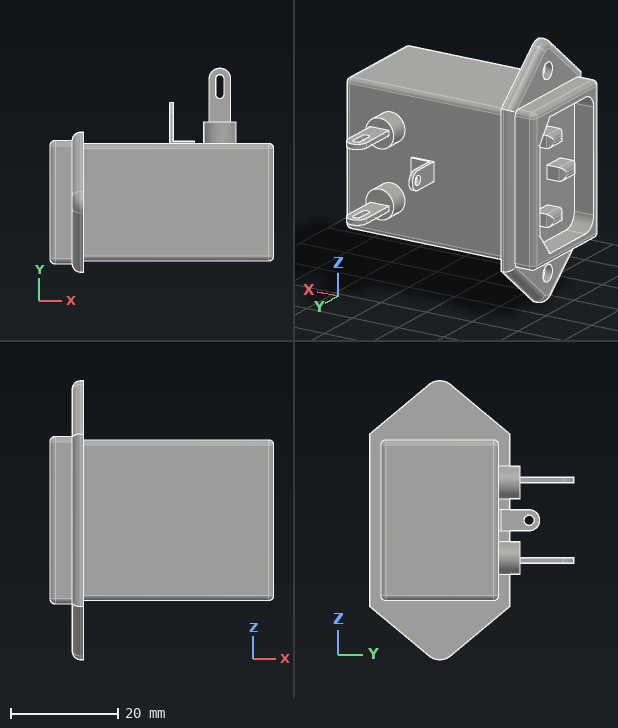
import cadquery as cq
import math

TOTAL_LENGTH = 41.7

BEZEL_WIDTH = 23.05
BEZEL_HEIGHT = 31.2
BEZEL_EDGE_RADIUS = 1.05

FLANGE_FRONT = 4.15
FLANGE_THICKNESS = 2.15
FLANGE_BACK = FLANGE_FRONT + FLANGE_THICKNESS
FLANGE_WIDTH = 26.1
FLANGE_HEIGHT = 52.0
FLANGE_SHOULDER_HEIGHT = 32.15
FLANGE_SLOPE = math.radians(39.8)
FLANGE_EDGE_RADIUS = 1.6
MOUNT_HOLE_DIAMETER = 3.4
MOUNT_HOLE_DEPTH = 1.6
MOUNT_HOLE_SPACING = 40.05

CAN_WIDTH = 21.95
CAN_HEIGHT = 29.95
CAN_EDGE_RADIUS = 1.0
CAN_SIDE = CAN_WIDTH / 2

SOCKET_DEPTH = 4.2
SOCKET_WIDTH = 19.15
SOCKET_HEIGHT = 27.05
SOCKET_BEVEL_WIDTH = 3.6
SOCKET_BEVEL_HEIGHT = 4.6
SOCKET_CORNER_RADIUS = 2.85

PIN_LENGTH = 3.6
LINE_PIN_WIDTH = 4.6
LINE_PIN_HEIGHT = 2.6
LINE_PIN_EDGE_RADIUS = 1.0
LINE_PIN_Y = 2.3
LINE_PIN_SPACING = 15.6
EARTH_PIN_WIDTH = 4.75
EARTH_PIN_HEIGHT = 2.75
EARTH_PIN_EDGE_RADIUS = 1.05
EARTH_PIN_Y = -2.3

TERMINAL_X = 31.65
INSULATOR_DIAMETER = 6.1
INSULATOR_HEIGHT = 4.0
INSULATOR_SPACING = 14.05
BLADE_SPACING = 15.0
BLADE_WIDTH = 4.05
BLADE_THICKNESS = 1.05
BLADE_TIP_Y = 24.95
BLADE_SLOT_WIDTH = 1.5
BLADE_SLOT_LENGTH = 4.4
BLADE_SLOT_Y = 21.55

TAB_FRONT = 22.3
TAB_THICKNESS = 0.75
TAB_WIDTH = 3.95
TAB_TIP_Y = 18.6
TAB_HOLE_DIAMETER = 1.85
TAB_FOOT_LENGTH = 4.7
TAB_FOOT_THICKNESS = 0.4

EMBED = 0.5


def block(x_start, x_end, width, height, y=0.0, z=0.0):
    """Box from x_start to x_end, centred on (y, z)."""
    length = x_end - x_start
    return cq.Workplane("XY").box(length, width, height).translate((x_start + length / 2, y, z))


def make_bezel():
    bezel = block(0, FLANGE_BACK, BEZEL_WIDTH, BEZEL_HEIGHT)
    return bezel.edges("|X or <X").fillet(BEZEL_EDGE_RADIUS)


def make_flange():
    side = FLANGE_WIDTH / 2
    shoulder = FLANGE_SHOULDER_HEIGHT / 2
    apex = shoulder + side * math.tan(FLANGE_SLOPE)
    apex_radius = (apex - FLANGE_HEIGHT / 2) / (1 / math.cos(FLANGE_SLOPE) - 1)
    outline = [
        (side, -shoulder),
        (side, shoulder),
        (0, apex),
        (-side, shoulder),
        (-side, -shoulder),
        (0, -apex),
    ]
    flange = (
        cq.Workplane("YZ", origin=(FLANGE_FRONT, 0, 0))
        .polyline(outline).close().extrude(FLANGE_THICKNESS)
    )
    flange = flange.edges("|X").edges(">Z or <Z").fillet(apex_radius)
    flange = flange.faces("<X").edges().fillet(FLANGE_EDGE_RADIUS)
    holes = (
        cq.Workplane("YZ", origin=(FLANGE_FRONT, 0, 0))
        .rarray(0.5, MOUNT_HOLE_SPACING, 1, 2)
        .circle(MOUNT_HOLE_DIAMETER / 2).extrude(MOUNT_HOLE_DEPTH)
    )
    return flange.cut(holes)


def make_can():
    can = block(FLANGE_BACK, TOTAL_LENGTH, CAN_WIDTH, CAN_HEIGHT)
    return can.edges("|X or >X").fillet(CAN_EDGE_RADIUS)


def make_socket():
    """Recess with two bevelled corners on +Y and two rounded corners on -Y."""
    side = SOCKET_WIDTH / 2
    top = SOCKET_HEIGHT / 2
    outline = [
        (-side, -top),
        (side - SOCKET_BEVEL_WIDTH, -top),
        (side, -top + SOCKET_BEVEL_HEIGHT),
        (side, top - SOCKET_BEVEL_HEIGHT),
        (side - SOCKET_BEVEL_WIDTH, top),
        (-side, top),
    ]
    socket = cq.Workplane("YZ").polyline(outline).close().extrude(SOCKET_DEPTH)
    return socket.edges("|X and <Y").fillet(SOCKET_CORNER_RADIUS)


def make_pin(width, height, edge_radius, y, z):
    """Contact pin standing on the socket floor, rounded around its tip."""
    tip = SOCKET_DEPTH - PIN_LENGTH
    pin = block(tip, FLANGE_BACK, width, height, y, z)
    return pin.faces("<X").edges().fillet(edge_radius)


def round_ended_strip(plane, width, tip_y, thickness):
    """Strip running from inside the can side to a fully rounded end at tip_y."""
    root_y = CAN_SIDE - EMBED
    half = width / 2
    return (
        plane.moveTo(root_y, -half)
        .lineTo(tip_y - half, -half)
        .threePointArc((tip_y, 0), (tip_y - half, half))
        .lineTo(root_y, half)
        .close().extrude(thickness)
    )


def make_line_terminal(side):
    """Insulator and slotted blade; side is +1 above the X axis and -1 below it."""
    insulator = (
        cq.Workplane("XZ", origin=(TERMINAL_X, CAN_SIDE - EMBED, side * INSULATOR_SPACING / 2))
        .circle(INSULATOR_DIAMETER / 2).extrude(-(INSULATOR_HEIGHT + EMBED))
    )
    blade_bottom = side * BLADE_SPACING / 2 - BLADE_THICKNESS / 2
    plane = cq.Workplane(cq.Plane((TERMINAL_X, 0, blade_bottom), xDir=(0, 1, 0), normal=(0, 0, 1)))
    blade = round_ended_strip(plane, BLADE_WIDTH, BLADE_TIP_Y, BLADE_THICKNESS)
    slot = (
        plane.center(BLADE_SLOT_Y, 0)
        .slot2D(BLADE_SLOT_LENGTH, BLADE_SLOT_WIDTH).extrude(BLADE_THICKNESS)
    )
    return insulator.union(blade.cut(slot))


def make_earth_tab():
    plane = cq.Workplane("YZ", origin=(TAB_FRONT, 0, 0))
    upright = round_ended_strip(plane, TAB_WIDTH, TAB_TIP_Y, TAB_THICKNESS)
    hole_y = TAB_TIP_Y - TAB_WIDTH / 2
    hole = plane.center(hole_y, 0).circle(TAB_HOLE_DIAMETER / 2).extrude(TAB_THICKNESS)
    foot_height = TAB_FOOT_THICKNESS + EMBED
    foot_y = CAN_SIDE - EMBED + foot_height / 2
    foot = block(TAB_FRONT, TAB_FRONT + TAB_FOOT_LENGTH, foot_height, TAB_WIDTH, foot_y)
    return upright.cut(hole).union(foot)


result = make_bezel().union(make_flange()).union(make_can()).cut(make_socket())
for side in (1, -1):
    line_pin_z = side * LINE_PIN_SPACING / 2
    line_pin = make_pin(LINE_PIN_WIDTH, LINE_PIN_HEIGHT, LINE_PIN_EDGE_RADIUS, LINE_PIN_Y, line_pin_z)
    result = result.union(line_pin).union(make_line_terminal(side))
result = result.union(make_pin(EARTH_PIN_WIDTH, EARTH_PIN_HEIGHT, EARTH_PIN_EDGE_RADIUS, EARTH_PIN_Y, 0))
result = result.union(make_earth_tab())